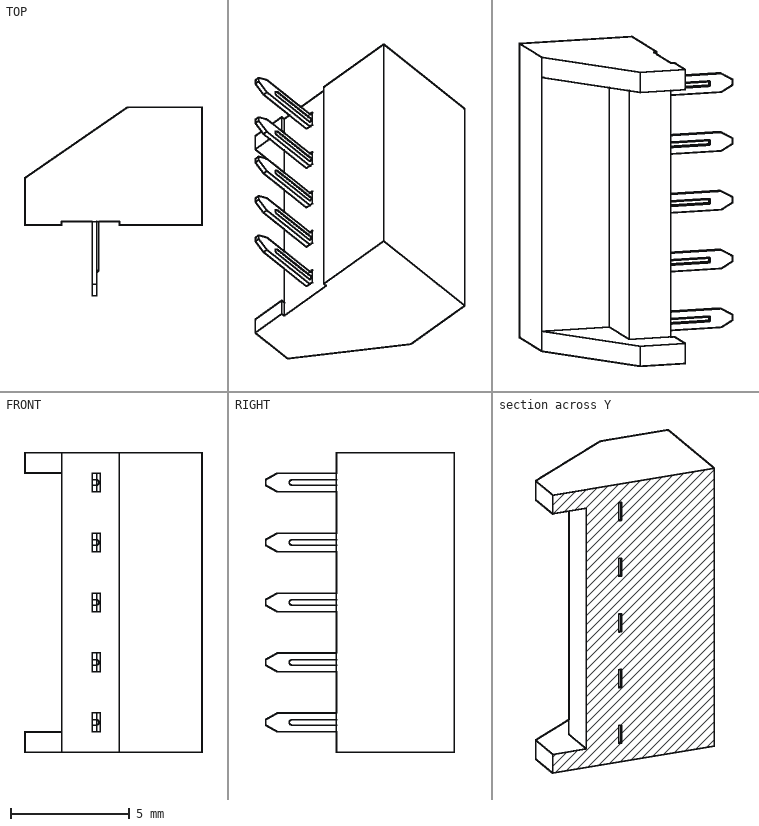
import cadquery as cq

housing_width = 7.5
housing_depth = 5.0
housing_height = 12.7
nose_depth = 2.0
slope_end_x = 4.35

end_wall = 0.87
recess_x = 1.55

channel_far_x = 4.0
channel_depth = 0.15

pin_count = 5
pin_pitch = 2.54
pin_x = 2.85
pin_thickness = 0.2
pin_width = 0.8
pin_reach = 3.0
pin_taper = 0.5
pin_tip_width = 0.24
pin_inner_x = pin_x + pin_thickness

bead_reach = 2.0
rib_radius = 0.12
rib_height = 0.08
groove_width = 0.24
groove_depth = 0.05
groove_corner = 0.06

bend_radius = 0.14


def make_housing():
    """Sloped block with a stepped recess between its end walls and a channel in its front face."""
    block = (
        cq.Workplane("XY")
        .moveTo(0, 0)
        .lineTo(housing_width, 0)
        .lineTo(housing_width, housing_depth)
        .lineTo(slope_end_x, housing_depth)
        .lineTo(0, nose_depth)
        .close()
        .extrude(housing_height)
    )
    recess_height = housing_height - 2 * end_wall
    step_cut = cq.Workplane("XY", origin=(0, 0, end_wall)).rect(
        recess_x, housing_depth, centered=False
    ).extrude(recess_height)
    back_cut = cq.Workplane("XY", origin=(0, nose_depth, end_wall)).rect(
        slope_end_x, housing_depth - nose_depth, centered=False
    ).extrude(recess_height)
    channel = cq.Workplane("XY", origin=(recess_x, 0, 0)).rect(
        channel_far_x - recess_x, channel_depth, centered=False
    ).extrude(housing_height)
    return block.cut(step_cut).cut(back_cut).cut(channel)


def make_rib(z):
    """Rod along Y, partly sunk in the +X face of the pin, closed by a ball at its free end."""
    axis_x = pin_inner_x + rib_height - rib_radius
    ball_y = rib_radius - bead_reach
    rod = cq.Workplane("XZ", origin=(axis_x, ball_y, z)).circle(rib_radius).extrude(ball_y - channel_depth)
    ball = cq.Workplane("XY", origin=(axis_x, ball_y, z)).sphere(rib_radius)
    return rod.union(ball)


def make_groove(z):
    """Shallow flat-bottomed groove with 45 degree sides, running past the root of the pin."""
    root_y = 2 * channel_depth
    length = root_y + bead_reach
    return (
        cq.Workplane("XY", origin=(pin_x, root_y - length / 2, z))
        .box(2 * groove_depth, length, groove_width)
        .edges("|X")
        .fillet(groove_corner)
        .faces(">X")
        .chamfer(groove_depth)
    )


def make_pin(z):
    """Flat pin with a tapered tip, a groove on its -X face and a rib on its +X face."""
    half_width = pin_width / 2
    half_tip = pin_tip_width / 2
    taper_y = pin_taper - pin_reach
    blade = (
        cq.Workplane("YZ", origin=(pin_x, 0, z))
        .moveTo(channel_depth, -half_width)
        .lineTo(channel_depth, half_width)
        .lineTo(taper_y, half_width)
        .lineTo(-pin_reach, half_tip)
        .lineTo(-pin_reach, -half_tip)
        .lineTo(taper_y, -half_width)
        .close()
        .extrude(pin_thickness)
    )
    return blade.union(make_rib(z)).cut(make_groove(z))


def make_bend_hollow(z):
    """Hollow beside a pin root whose floor is a quarter round running off the pin face."""
    return (
        cq.Workplane("XY", origin=(pin_inner_x, channel_depth, z - pin_width / 2))
        .moveTo(0, 0)
        .radiusArc((bend_radius, bend_radius), bend_radius)
        .lineTo(bend_radius, 0)
        .close()
        .extrude(pin_width)
    )


result = make_housing()
first_pin_z = (housing_height - (pin_count - 1) * pin_pitch) / 2
for index in range(pin_count):
    pin_z = first_pin_z + index * pin_pitch
    result = result.cut(make_bend_hollow(pin_z)).union(make_pin(pin_z))